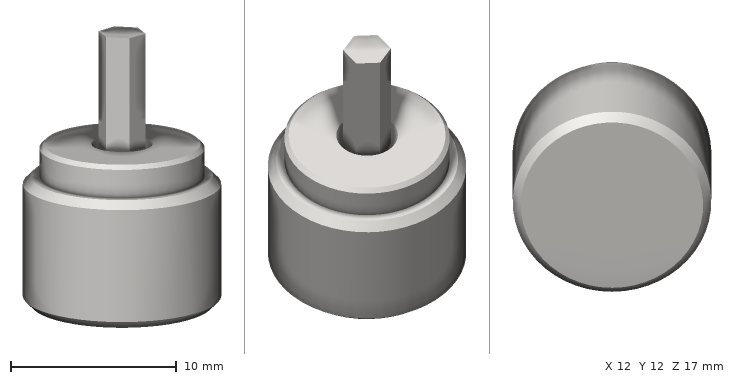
import cadquery as cq
import math

body_diameter = 12.0
body_height = 8.0
body_chamfer = 0.5
collar_diameter = 10.0
collar_height = 2.0
collar_chamfer = 0.25
housing_height = body_height + collar_height

countersink_diameter = 3.72
countersink_angle = 60.0
countersink_depth = countersink_diameter / 2 / math.tan(math.radians(countersink_angle / 2))

overall_height = 17.0
pin_across_flats = 2.5
pin_across_corners = pin_across_flats / math.cos(math.radians(30))
pin_turn = -6.7
socket_depth = 5.0
pin_bottom = housing_height - socket_depth


def make_pin():
    """Hexagonal bar from the socket floor to the top of the part."""
    return (
        cq.Workplane("XY", origin=(0, 0, pin_bottom))
        .polygon(6, pin_across_corners)
        .extrude(overall_height - pin_bottom)
        .rotate((0, 0, 0), (0, 0, 1), pin_turn)
    )


def make_housing():
    """Stepped round housing with the countersink and the pin socket cut into it."""
    body = cq.Workplane("XY").circle(body_diameter / 2).extrude(body_height)
    body = body.faces("<Z or >Z").chamfer(body_chamfer)
    collar = (
        cq.Workplane("XY", origin=(0, 0, body_height))
        .circle(collar_diameter / 2)
        .extrude(collar_height)
        .faces(">Z")
        .chamfer(collar_chamfer)
    )
    countersink = cq.Workplane(
        cq.Solid.makeCone(
            0,
            countersink_diameter / 2,
            countersink_depth,
            pnt=cq.Vector(0, 0, housing_height - countersink_depth),
        )
    )
    return body.union(collar).cut(countersink).cut(make_pin())


housing = make_housing()
pin = make_pin()
result = cq.Compound.makeCompound([housing.val(), pin.val()])